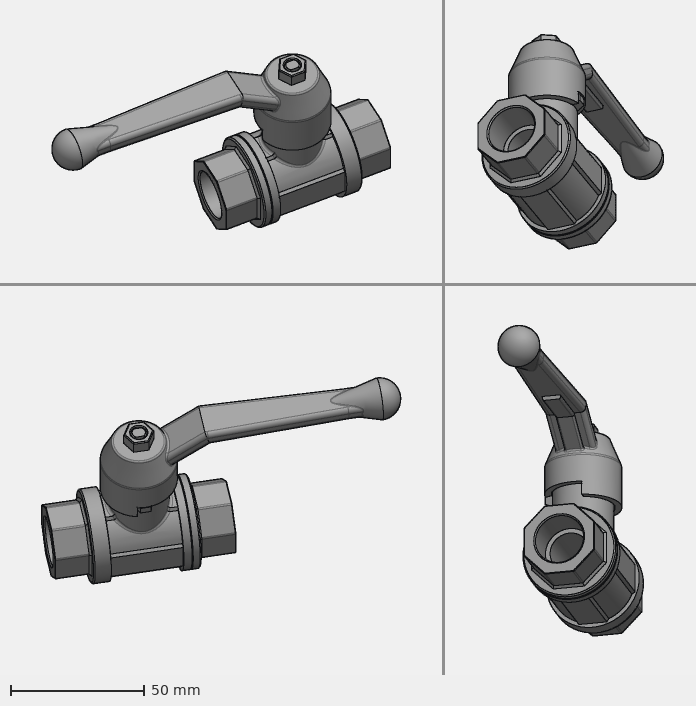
import cadquery as cq
import math


body_length = 69.1
flange_dia = 36.0
flange_outer_y = 20.6
flange_inner_y = 13.9
flange_edge = 0.5
groove_dia = 35.5
groove_width = 0.4
octagon_flats = 27.3
octagon_corner = 1.0
octagon_end_chamfer = 0.3
octagon_root = 1.0
octagon_root_angle = 45.0
barrel_dia = 32.8
pad_face_width = 10.9
pad_base_width = 12.5
port_dia = 15.0
thread_dia = 18.7
thread_depth = 14.8
thread_chamfer = 0.5

neck_dia = 23.0
neck_top_z = 35.0
neck_root = 1.2
lug_tip_x = -14.3
lug_embed = 1.3
lug_base_width = 6.2
lug_base_bottom_z = 24.9
lug_base_top_z = 30.0
lug_face_width = 4.0
lug_face_bottom_z = 26.9
lug_face_top_z = 29.6
stem_dia = 6.0
stem_flats = 4.0
stem_tip_dia = 5.0

cap_dia = 29.0
cap_bore = 24.0
cap_bottom_z = 24.9
cap_shoulder_z = 41.2
cap_shoulder_round = 2.0
cap_top_z = 51.9
cap_top_dia = 20.2
cap_top_round = 0.8
notch_top_z = 30.1
notch_edge = 3.2
arm_z = 56.1
arm_height = 5.9
arm_edge = 1.9
arm_slope = 34.0
arm_inner_y = -8.1
bend_y = -25.0
arm_wide = 15.6
arm_narrow = 11.8
taper_end_y = -79.1
arm_end_y = -87.4
rib_width = 7.0
rib_height = 1.5
rib_end_y = -45.6
rib_end_slant = 1.1
rib_edge = 0.7
arm_root = 0.7
knob_dia = 16.0
knob_tip_y = -100.0
knob_half_angle = 15.1
knob_root = 0.5
cone_fraction = 0.8

nut_flats = 10.0
nut_height = 5.1
nut_chamfer = 0.4
nut_hole_chamfer = 0.4

body_end_y = body_length / 2
nut_top_z = cap_top_z + nut_height


def rod_y(diameter, y_from, y_to):
    """Cylinder on the flow axis."""
    return cq.Workplane("XZ", origin=(0, y_from, 0)).circle(diameter / 2).extrude(y_from - y_to)


def rod_z(diameter, z_from, z_to):
    """Cylinder on the stem axis."""
    return cq.Workplane("XY", origin=(0, 0, z_from)).circle(diameter / 2).extrude(z_to - z_from)


def octagon(flats, y):
    """Octagon outline across the flow axis, with flats facing X and Z."""
    half_side_angle = 180 / 8
    corner_dia = flats / math.cos(math.radians(half_side_angle))
    plane = cq.Plane(origin=(0, y, 0), xDir=(1, 0, 0), normal=(0, 1, 0))
    return cq.Workplane(plane).transformed(rotate=(0, 0, half_side_angle)).polygon(8, corner_dia)


def octagon_end():
    """Octagon on the +Y end, flaring out where it meets the flange."""
    end = octagon(octagon_flats, flange_inner_y).extrude(body_end_y - flange_inner_y)
    end = end.edges("|Y").fillet(octagon_corner)
    end = end.faces(">Y").edges().chamfer(octagon_end_chamfer)
    root_flats = octagon_flats + 2 * octagon_root
    flare = octagon(root_flats, flange_outer_y).extrude(octagon_root, taper=octagon_root_angle)
    return end.union(flare)


def thread_socket():
    """Hole in the +Y end, widening at its mouth."""
    hole_radius = thread_dia / 2
    outline = [
        (0, body_end_y - thread_depth),
        (hole_radius, body_end_y - thread_depth),
        (hole_radius, body_end_y - thread_chamfer),
        (hole_radius + thread_chamfer, body_end_y),
        (0, body_end_y),
    ]
    return cq.Workplane("XY").polyline(outline).close().revolve(360, (0, 0, 0), (0, 1, 0))


def flange():
    """Flange at the +Y end of the barrel."""
    disc = rod_y(flange_dia, flange_inner_y, flange_outer_y)
    return disc.faces(">Y").edges().chamfer(flange_edge)


def pad():
    """Flat facing +Z, tangent to the barrel, with sloping sides."""
    face_z = barrel_dia / 2
    base_z = math.sqrt(face_z**2 - (pad_base_width / 2) ** 2)
    outline = [
        (-pad_base_width / 2, 0),
        (-pad_base_width / 2, base_z),
        (-pad_face_width / 2, face_z),
        (pad_face_width / 2, face_z),
        (pad_base_width / 2, base_z),
        (pad_base_width / 2, 0),
    ]
    return cq.Workplane("XZ").polyline(outline).close().extrude(flange_inner_y, both=True)


def stop_lug():
    """Tapered lug on the -X side of the neck that limits the handle's turn."""
    inner_x = -neck_dia / 2 + lug_embed
    base_z = (lug_base_top_z + lug_base_bottom_z) / 2
    face_z = (lug_face_top_z + lug_face_bottom_z) / 2
    plane = cq.Plane(origin=(inner_x, 0, base_z), xDir=(0, 1, 0), normal=(-1, 0, 0))
    return (
        cq.Workplane(plane)
        .rect(lug_base_width, lug_base_top_z - lug_base_bottom_z)
        .workplane(offset=inner_x - lug_tip_x)
        .center(0, base_z - face_z)
        .rect(lug_face_width, lug_face_top_z - lug_face_bottom_z)
        .loft(ruled=True)
    )


def stem_bar(z_from, z_to):
    """Round bar with two flats facing X."""
    flats = cq.Workplane("XY", origin=(0, 0, z_from)).rect(stem_flats, stem_dia).extrude(z_to - z_from)
    return rod_z(stem_dia, z_from, z_to).intersect(flats)


def stem():
    """Stem from the neck to the nut's top, with its tip chamfered."""
    tip_chamfer = (stem_dia - stem_tip_dia) / 2
    round_bar = rod_z(stem_dia, neck_top_z, nut_top_z).faces(">Z").chamfer(tip_chamfer)
    return round_bar.intersect(stem_bar(neck_top_z, nut_top_z))


def barrel_with_neck():
    """Barrel, its four pads and the neck, with the neck's root rounded."""
    barrel = rod_y(barrel_dia, -flange_inner_y, flange_inner_y)
    for angle in (0, 90, 180, 270):
        barrel = barrel.union(pad().rotate((0, 0, 0), (0, 1, 0), angle))
    barrel = barrel.union(rod_z(neck_dia, 0, neck_top_z))
    reach = neck_dia / 2 + neck_root
    root_top_z = barrel_dia / 2 + neck_root
    root = cq.selectors.BoxSelector((-reach, -reach, barrel_dia / 4), (reach, reach, root_top_z))
    return barrel.edges(root).edges("not(|Y)").fillet(neck_root)


def flange_groove():
    """Ring cut around the middle of the -Y flange."""
    groove_y = -(flange_inner_y + flange_outer_y) / 2
    near_y = groove_y - groove_width / 2
    far_y = groove_y + groove_width / 2
    return rod_y(flange_dia, near_y, far_y).cut(rod_y(groove_dia, near_y, far_y))


def make_valve_body():
    """Barrel, neck, stem and the two threaded ends."""
    body = barrel_with_neck()
    for angle in (0, 180):
        body = body.union(flange().union(octagon_end()).rotate((0, 0, 0), (0, 0, 1), angle))
    body = body.cut(flange_groove())
    body = body.union(stop_lug()).union(stem())
    body = body.cut(rod_y(port_dia, -body_end_y, body_end_y))
    for angle in (0, 180):
        body = body.cut(thread_socket().rotate((0, 0, 0), (0, 0, 1), angle))
    return body


def handle_cap():
    """Turned cap before its bore, with a cylinder below a cone."""
    radius = cap_dia / 2
    outline = [
        (0, cap_bottom_z),
        (radius, cap_bottom_z),
        (radius, cap_shoulder_z),
        (cap_top_dia / 2, cap_top_z),
        (0, cap_top_z),
    ]
    cap = cq.Workplane("XZ").polyline(outline).close().revolve()
    cap = cap.faces(">Z").edges().fillet(cap_top_round)
    shoulder = cq.selectors.NearestToPointSelector((0, 0, cap_shoulder_z))
    return cap.edges("%CIRCLE").edges(shoulder).fillet(cap_shoulder_round)


def slope_point(y, offset):
    """Point at Y on the arm's slope, offset upward square to the arm's centre line."""
    angle = math.radians(arm_slope)
    return (y, arm_z + offset / math.cos(angle) + (bend_y - y) * math.tan(angle))


def bend_point(offset):
    """Corner at the bend, offset upward square to the arm's centre line."""
    return (bend_y + offset * math.tan(math.radians(arm_slope / 2)), arm_z + offset)


def bent_strip(top, bottom, end_y, end_slant, width):
    """Strip along the arm between two offsets from its centre line, with a sloping end."""
    outline = [
        slope_point(arm_inner_y, top),
        bend_point(top),
        (end_y - end_slant, arm_z + top),
        (end_y, arm_z + bottom),
        bend_point(bottom),
        slope_point(arm_inner_y, bottom),
    ]
    return cq.Workplane("YZ").polyline(outline).close().extrude(width / 2, both=True)


def level_bar():
    """Level stretch of the arm, tapering toward the knob, run past the bend."""
    start_y = bend_y + arm_height
    right_side = [
        (arm_wide / 2, start_y),
        (arm_wide / 2, bend_y),
        (arm_narrow / 2, taper_end_y),
        (arm_narrow / 2, arm_end_y),
    ]
    plan = right_side + [(-x, y) for x, y in reversed(right_side)]
    underside = cq.Workplane("XY", origin=(0, 0, arm_z - arm_height / 2))
    bar = underside.polyline(plan).close().extrude(arm_height)
    return bar.edges("#Z").edges("not(|X)").fillet(arm_edge)


def handle_arm():
    """Level and sloped stretches of the arm, mitred at the bend."""
    bend_axis = ((0, bend_y, arm_z), (1, bend_y, arm_z))
    slope_length = (arm_inner_y - bend_y) / math.cos(math.radians(arm_slope))
    mitre_overrun = arm_height
    slope = (
        cq.Workplane("XZ", origin=(0, bend_y - mitre_overrun, arm_z))
        .rect(arm_wide, arm_height)
        .extrude(-slope_length - mitre_overrun)
        .edges("|Y")
        .fillet(arm_edge)
        .rotate(*bend_axis, -arm_slope)
    )
    reach = 2 * abs(arm_end_y)
    knob_side = (
        cq.Workplane("XY")
        .box(reach, reach, reach)
        .translate((0, bend_y - reach / 2, arm_z))
        .rotate(*bend_axis, -arm_slope / 2)
    )
    return level_bar().intersect(knob_side).union(slope.cut(knob_side))


def rib():
    """Rib under the slope and the start of the level stretch, with a sloping end and rounded lower edges."""
    underside = -arm_height / 2 - rib_height
    strip = bent_strip(0, underside, rib_end_y, rib_end_slant, rib_width)
    underside_zone = cq.selectors.BoxSelector(
        (-rib_width, rib_end_y, 0),
        (rib_width, arm_inner_y - rib_height, arm_z - arm_height / 2),
    )
    return strip.edges(underside_zone).edges("not(|X)").fillet(rib_edge)


def knob():
    """Ball with a cone running back into the arm."""
    radius = knob_dia / 2
    ball_y = knob_tip_y + radius
    diagonal = radius * math.sqrt(0.5)
    cone_tip_radius = radius * (1 - cone_fraction)
    cone_end_y = ball_y + cone_fraction * radius / math.tan(math.radians(knob_half_angle))
    half_outline = (
        cq.Workplane("XY")
        .moveTo(0, knob_tip_y)
        .threePointArc((diagonal, ball_y - diagonal), (radius, ball_y))
        .lineTo(cone_tip_radius, cone_end_y)
        .lineTo(0, cone_end_y)
        .close()
    )
    return half_outline.revolve(360, (0, 0, 0), (0, 1, 0)).translate((0, 0, arm_z))


def arm_with_knob():
    """Arm joined to the knob, with the joint rounded."""
    ball_y = knob_tip_y + knob_dia / 2
    arm = handle_arm().union(knob())
    joint = cq.selectors.BoxSelector(
        (-arm_wide, ball_y + knob_root, 0),
        (arm_wide, taper_end_y + arm_height, 2 * arm_z),
    )
    return arm.edges(joint).edges("%HYPERBOLA or %BSPLINE").fillet(knob_root)


def make_handle():
    """Cap, arm, rib and knob, with the cap hollowed and its skirt notched over the stop lug."""
    cap_radius = cap_dia / 2
    arm = arm_with_knob().union(rib())
    body = handle_cap().union(arm)
    joint = cq.selectors.BoxSelector(
        (-arm_wide, -cap_radius, cap_shoulder_z),
        (arm_wide, -cap_radius / 2, cap_top_z),
    )
    body = body.edges(joint).fillet(arm_root)
    body = body.cut(rod_z(cap_bore, cap_bottom_z, neck_top_z))
    body = body.cut(stem_bar(neck_top_z, cap_top_z))
    notch_height = notch_top_z - cap_bottom_z
    notch = cq.Workplane("XY").box(cap_dia, cap_dia, notch_height, centered=False)
    return body.cut(notch.translate((notch_edge - cap_dia, notch_edge - cap_dia, cap_bottom_z)))


def make_nut():
    """Hexagon nut on the cap, with flats facing X."""
    half_side_angle = 180 / 6
    corner_dia = nut_flats / math.cos(math.radians(half_side_angle))
    seat = cq.Workplane("XY", origin=(0, 0, cap_top_z)).transformed(rotate=(0, 0, half_side_angle))
    blank = seat.polygon(6, corner_dia).extrude(nut_height).faces(">Z").chamfer(nut_chamfer)
    drilled = blank.cut(rod_z(stem_dia, cap_top_z, nut_top_z))
    return drilled.faces(">Z").edges("%CIRCLE").chamfer(nut_hole_chamfer)


valve_body = make_valve_body()
handle = make_handle()
nut = make_nut()
result = cq.Compound.makeCompound([valve_body.val(), handle.val(), nut.val()])